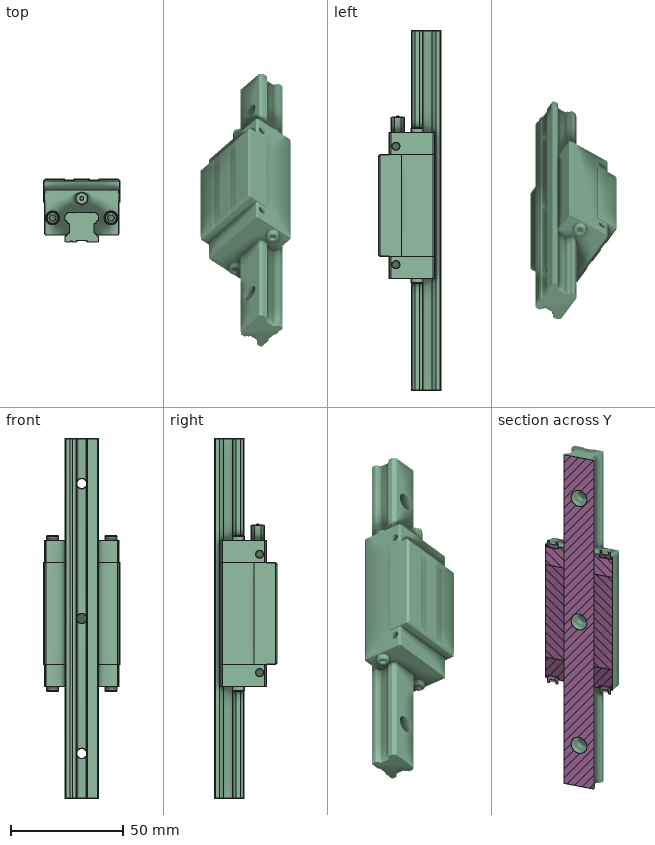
import cadquery as cq
import math


RAIL_LENGTH = 160.0
RAIL_HEIGHT = 13.1
RAIL_HALF_WIDTH = 7.5
RAIL_TOP_HALF_WIDTH = 6.2
RAIL_WAIST_HALF_WIDTH = 5.5
HEAD_CHAMFER_Y = 11.7
BALL_GROOVE_TOP_Y = 9.6
BALL_GROOVE_RADIUS = 1.3
WAIST_TOP_Y = 8.0
WAIST_BOTTOM_Y = 4.2
FOOT_TOP_Y = 2.4
FOOT_CHAMFER = 0.5

BASE_GROOVE_MOUTH = 5.1
BASE_GROOVE_BREAK = 4.3
BASE_GROOVE_FLOOR = 3.2
BASE_GROOVE_BREAK_DEPTH = 0.5
BASE_GROOVE_DEPTH = 0.6

MARK_GROOVE_X = -4.6
MARK_GROOVE_WIDTH = 1.0
MARK_GROOVE_DEPTH = 0.3

BOLT_PITCH = 60.0
BOLT_HOLE_DIAMETER = 4.5
BOLT_HEAD_DIAMETER = 7.5
BOLT_HEAD_DEPTH = 5.3

CARRIAGE_CENTER_Z = 82.2
CARRIAGE_TOP_Y = 28.0
CARRIAGE_BOTTOM_Y = 3.0
CORNER_CHAMFER = 0.6

BLOCK_LENGTH = 45.3
BLOCK_WIDTH = 34.0
BLOCK_SHOULDER_Y = 17.8
BLOCK_TOP_CHAMFER = 0.8

TOP_GROOVE_X = 5.6
TOP_GROOVE_WIDTH = 4.3
TOP_GROOVE_DEPTH = 0.5

CAP_LENGTH = 10.0
CAP_WIDTH = 33.1
CAP_TOP_Y = 23.2
CAP_CHAMFER_DROP = 1.0
CAP_CHAMFER_INSET = 0.5

PORT_DIAMETER = 3.5
PORT_DEPTH = 3.5
PORT_Y = 20.2
PORT_FROM_BLOCK = 3.7

POCKET_DIAMETER = 6.0
POCKET_DEPTH = 1.3

SCREW_X = 13.0
SCREW_Y = 10.7
SCREW_HEAD_DIAMETER = 5.5
SCREW_PROJECTION = 2.0
SCREW_CHAMFER = 0.3
SCREW_SOCKET_CORNER_DIAMETER = 3.2
SCREW_SOCKET_DEPTH = 1.6

NIPPLE_Y = 19.4
NIPPLE_CORNER_DIAMETER = 6.0
NIPPLE_CHAMFER_DROP = 0.2
NIPPLE_CHAMFER_INSET = 0.6
NIPPLE_HEIGHT = 6.7
NIPPLE_TIP_DIAMETER = 2.0
NIPPLE_TIP_PROJECTION = 0.5

BLOCK_BOTTOM_Z = CARRIAGE_CENTER_Z - BLOCK_LENGTH / 2
CAP_END_OFFSET = BLOCK_LENGTH / 2 + CAP_LENGTH


def mirrored_prism(right_side, length, bottom_z):
    """Extrude along Z an outline given by its +X half, listed from the bottom up."""
    left_side = [(-x, y) for x, y in reversed(right_side)]
    outline = cq.Workplane("XY", origin=(0, 0, bottom_z)).polyline(right_side + left_side)
    return outline.close().extrude(length)


def box_between(x_range, y_range, z_range):
    """Axis-aligned box from its two limits along each axis."""
    (x0, x1), (y0, y1), (z0, z1) = x_range, y_range, z_range
    return cq.Workplane("XY").box(x1 - x0, y1 - y0, z1 - z0, centered=False).translate((x0, y0, z0))


def build_rail_bar():
    """Rail section with ball grooves and its base groove, before the bolt holes and the mark."""
    groove_arc_offset = BALL_GROOVE_RADIUS * math.sqrt(0.5)
    groove_center_y = BALL_GROOVE_TOP_Y - BALL_GROOVE_RADIUS
    right_half = (
        cq.Workplane("XY")
        .moveTo(0, BASE_GROOVE_DEPTH)
        .lineTo(BASE_GROOVE_FLOOR / 2, BASE_GROOVE_DEPTH)
        .lineTo(BASE_GROOVE_BREAK / 2, BASE_GROOVE_BREAK_DEPTH)
        .lineTo(BASE_GROOVE_MOUTH / 2, 0)
        .lineTo(RAIL_HALF_WIDTH - FOOT_CHAMFER, 0)
        .lineTo(RAIL_HALF_WIDTH, FOOT_CHAMFER)
        .lineTo(RAIL_HALF_WIDTH, FOOT_TOP_Y)
        .lineTo(RAIL_WAIST_HALF_WIDTH, WAIST_BOTTOM_Y)
        .lineTo(RAIL_WAIST_HALF_WIDTH, WAIST_TOP_Y)
        .lineTo(RAIL_HALF_WIDTH - BALL_GROOVE_RADIUS, groove_center_y)
        .threePointArc(
            (RAIL_HALF_WIDTH - groove_arc_offset, groove_center_y + groove_arc_offset),
            (RAIL_HALF_WIDTH, BALL_GROOVE_TOP_Y),
        )
        .lineTo(RAIL_HALF_WIDTH, HEAD_CHAMFER_Y)
        .lineTo(RAIL_TOP_HALF_WIDTH, RAIL_HEIGHT)
        .lineTo(0, RAIL_HEIGHT)
    )
    return right_half.mirrorY().extrude(RAIL_LENGTH)


def build_rail(bar):
    """Rail with counterbored bolt holes and a reference groove along one side of the base."""
    rail = bar.cut(
        box_between(
            (MARK_GROOVE_X - MARK_GROOVE_WIDTH / 2, MARK_GROOVE_X + MARK_GROOVE_WIDTH / 2),
            (0, MARK_GROOVE_DEPTH),
            (0, RAIL_LENGTH),
        )
    )
    for step in (-1, 0, 1):
        hole_z = RAIL_LENGTH / 2 + step * BOLT_PITCH
        top_plane = cq.Workplane("XZ", origin=(0, RAIL_HEIGHT, hole_z))
        rail = rail.cut(top_plane.circle(BOLT_HOLE_DIAMETER / 2).extrude(RAIL_HEIGHT))
        rail = rail.cut(top_plane.circle(BOLT_HEAD_DIAMETER / 2).extrude(BOLT_HEAD_DEPTH))
    return rail


def build_block(rail_bar):
    """Carriage block: wide upper part, narrower skirts and two shallow grooves on top."""
    upper = box_between(
        (-BLOCK_WIDTH / 2, BLOCK_WIDTH / 2),
        (BLOCK_SHOULDER_Y, CARRIAGE_TOP_Y),
        (BLOCK_BOTTOM_Z, BLOCK_BOTTOM_Z + BLOCK_LENGTH),
    )
    upper = upper.faces(">Y").chamfer(BLOCK_TOP_CHAMFER)
    skirts = mirrored_prism(
        [
            (CAP_WIDTH / 2 - CORNER_CHAMFER, CARRIAGE_BOTTOM_Y),
            (CAP_WIDTH / 2, CARRIAGE_BOTTOM_Y + CORNER_CHAMFER),
            (CAP_WIDTH / 2, BLOCK_SHOULDER_Y),
        ],
        BLOCK_LENGTH,
        BLOCK_BOTTOM_Z,
    )
    block = upper.union(skirts).cut(rail_bar)
    for side in (-1, 1):
        middle = side * TOP_GROOVE_X
        block = block.cut(
            box_between(
                (middle - TOP_GROOVE_WIDTH / 2, middle + TOP_GROOVE_WIDTH / 2),
                (CARRIAGE_TOP_Y - TOP_GROOVE_DEPTH, CARRIAGE_TOP_Y),
                (BLOCK_BOTTOM_Z, BLOCK_BOTTOM_Z + BLOCK_LENGTH),
            )
        )
    return block


def pocket_floor(side, end):
    """Plane of a screw pocket's floor in an end cap, centred on the pocket."""
    floor_z = CARRIAGE_CENTER_Z + end * (CAP_END_OFFSET - POCKET_DEPTH)
    return cq.Workplane("XY", origin=(side * SCREW_X, SCREW_Y, floor_z))


def build_end_cap(rail_bar, end):
    """End cap at the top (end = 1) or bottom (end = -1) of the block, with side ports and screw pockets."""
    middle_z = CARRIAGE_CENTER_Z + end * (BLOCK_LENGTH + CAP_LENGTH) / 2
    cap = mirrored_prism(
        [
            (CAP_WIDTH / 2 - CORNER_CHAMFER, CARRIAGE_BOTTOM_Y),
            (CAP_WIDTH / 2, CARRIAGE_BOTTOM_Y + CORNER_CHAMFER),
            (CAP_WIDTH / 2, CAP_TOP_Y - CAP_CHAMFER_DROP),
            (CAP_WIDTH / 2 - CAP_CHAMFER_INSET, CAP_TOP_Y),
        ],
        CAP_LENGTH,
        middle_z - CAP_LENGTH / 2,
    )
    port_z = CARRIAGE_CENTER_Z + end * (BLOCK_LENGTH / 2 + PORT_FROM_BLOCK)
    for side in (-1, 1):
        port_plane = cq.Workplane("YZ", origin=(side * CAP_WIDTH / 2, PORT_Y, port_z))
        cap = cap.cut(port_plane.circle(PORT_DIAMETER / 2).extrude(-side * PORT_DEPTH))
        cap = cap.cut(pocket_floor(side, end).circle(POCKET_DIAMETER / 2).extrude(end * POCKET_DEPTH))
    return cap.cut(rail_bar)


def build_screw(side, end):
    """Cap screw head standing in its pocket, with a hexagon socket."""
    outer_face = ">Z" if end > 0 else "<Z"
    head_height = POCKET_DEPTH + SCREW_PROJECTION
    head = pocket_floor(side, end).circle(SCREW_HEAD_DIAMETER / 2).extrude(end * head_height)
    head = head.faces(outer_face).chamfer(SCREW_CHAMFER)
    drive = head.faces(outer_face).workplane().polygon(6, SCREW_SOCKET_CORNER_DIAMETER)
    return drive.cutBlind(-SCREW_SOCKET_DEPTH)


def build_nipple():
    """Hexagonal grease nipple with corners toward +Y and -Y, a turned top chamfer and a domed tip."""
    seat = cq.Workplane("XY", origin=(0, NIPPLE_Y, CARRIAGE_CENTER_Z + CAP_END_OFFSET))
    hexagon = seat.transformed(rotate=(0, 0, 90)).polygon(6, NIPPLE_CORNER_DIAMETER).extrude(NIPPLE_HEIGHT)
    turned_blank = seat.circle(NIPPLE_CORNER_DIAMETER / 2).extrude(NIPPLE_HEIGHT)
    turned_blank = turned_blank.faces(">Z").chamfer(NIPPLE_CHAMFER_DROP, NIPPLE_CHAMFER_INSET)
    tip_radius = NIPPLE_TIP_DIAMETER / 2
    dome = seat.workplane(offset=NIPPLE_HEIGHT + NIPPLE_TIP_PROJECTION - tip_radius).sphere(tip_radius)
    return hexagon.intersect(turned_blank).union(dome)


rail_bar = build_rail_bar()
rail = build_rail(rail_bar)
block = build_block(rail_bar)
end_caps = [build_end_cap(rail_bar, end) for end in (-1, 1)]
screws = [build_screw(side, end) for side in (-1, 1) for end in (-1, 1)]
nipple = build_nipple()

bodies = [rail, block, *end_caps, *screws, nipple]
result = cq.Compound.makeCompound([body.solids().val() for body in bodies])